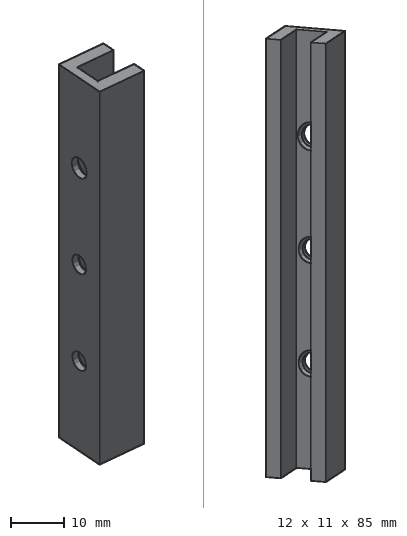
import cadquery as cq

width = 12.0
depth = 11.0
length = 85.0

side_wall = 3.0
base_wall = 2.0
slot_width = width - 2 * side_wall
slot_depth = depth - base_wall

hole_pitch = 22.0
hole_diameter = 4.0
top_hole_diameter = 4.3
countersink_depth = 0.6
holes = [
    (-hole_pitch, hole_diameter),
    (0, hole_diameter),
    (hole_pitch, top_hole_diameter),
]


def make_channel():
    """U-shaped bar centred on the origin."""
    bar = cq.Workplane("XY").box(width, depth, length)
    slot = (
        cq.Workplane("XY")
        .box(slot_width, slot_depth, length)
        .translate((0, base_wall / 2, 0))
    )
    return bar.cut(slot)


def make_hole(height, diameter):
    """Hole along Y through the base wall, flared where it enters the slot."""
    radius = diameter / 2
    slot_floor = base_wall - depth / 2
    profile = [
        (0, -depth / 2),
        (radius, -depth / 2),
        (radius, slot_floor - countersink_depth),
        (radius + countersink_depth, slot_floor),
        (0, slot_floor),
    ]
    return (
        cq.Workplane("XY")
        .polyline(profile)
        .close()
        .revolve(360, (0, 0, 0), (0, 1, 0))
        .translate((0, 0, height))
    )


result = make_channel()
for height, diameter in holes:
    result = result.cut(make_hole(height, diameter))